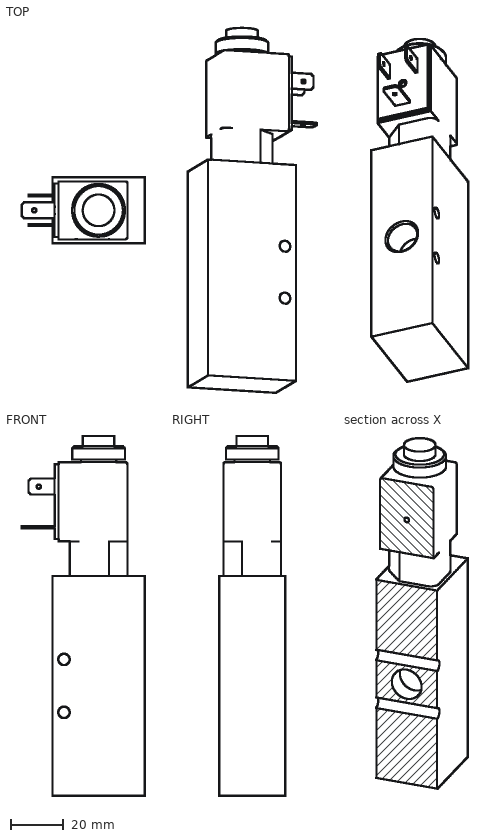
import cadquery as cq


TOTAL_LENGTH = 46.5
TOTAL_HEIGHT = 136.0

BLOCK_LENGTH = 35.0
BLOCK_WIDTH = 25.0
CAP_HEIGHT = 19.0
MIDDLE_HEIGHT = 45.0
BLOCK_HEIGHT = MIDDLE_HEIGHT + 2 * CAP_HEIGHT
BLOCK_MID_Z = BLOCK_HEIGHT / 2

PORT_DIAMETER = 12.0
PORT_MOUTH_DIAMETER = 13.5
PORT_CHAMFER = (PORT_MOUTH_DIAMETER - PORT_DIAMETER) / 2
PORT_DEPTH = 12.2

MOUNT_DIAMETER = 4.2
MOUNT_X = -13.0
MOUNT_PITCH = 20.0

PILOT_WIDTH = 21.9
NECK_HEIGHT = 13.0
NECK_CHAMFER = 7.1
NECK_FILLET = 3.4
COIL_BOTTOM = BLOCK_HEIGHT + NECK_HEIGHT

COIL_HEIGHT = 29.9
COIL_TOP = COIL_BOTTOM + COIL_HEIGHT
COIL_BACK_X = PILOT_WIDTH / 2
COIL_FRONT_X = -15.1
COIL_LENGTH = COIL_BACK_X - COIL_FRONT_X
COIL_FILLET = 1.0

PANEL_THICKNESS = 1.5
PANEL_MARGIN = 0.8
PANEL_X = COIL_FRONT_X - PANEL_THICKNESS
PANEL_MID_Z = COIL_BOTTOM + COIL_HEIGHT / 2

SCREW_DIAMETER = 1.8
SCREW_MOUTH_DIAMETER = 3.0
SCREW_CHAMFER = (SCREW_MOUTH_DIAMETER - SCREW_DIAMETER) / 2
SCREW_DEPTH = 8.2
SCREW_Z = 110.3

BLADE_WIDTH = 6.1
BLADE_THICKNESS = 0.8
BLADE_CHAMFER = 1.0
BLADE_HOLE_DIAMETER = 1.5
SIDE_BLADE_LENGTH = 9.9
SIDE_BLADE_HOLE_SETBACK = 4.0
SIDE_BLADE_Y = 5.6
SIDE_BLADE_Z = 116.8
GROUND_BLADE_TIP_X = BLOCK_LENGTH / 2 - TOTAL_LENGTH
GROUND_BLADE_LENGTH = PANEL_X - GROUND_BLADE_TIP_X
GROUND_BLADE_HOLE_SETBACK = 4.8
GROUND_BLADE_Z = 101.5

COLLAR_DIAMETER = 13.5
NUT_DIAMETER = 20.0
NUT_BOTTOM = 127.0
NUT_TOP = 132.0
NUT_CHAMFER = 0.8
STEM_DIAMETER = 12.0


def x_bore(mouth_x, z, diameter, depth, chamfer):
    """Blind bore entering along +X from mouth_x, with a chamfered mouth."""
    radius = diameter / 2
    return (
        cq.Workplane("XY")
        .moveTo(mouth_x, 0)
        .lineTo(mouth_x, radius + chamfer)
        .lineTo(mouth_x + chamfer, radius)
        .lineTo(mouth_x + depth, radius)
        .lineTo(mouth_x + depth, 0)
        .close()
        .revolve(360, (mouth_x, 0, 0), (mouth_x + depth, 0, 0))
        .translate((0, 0, z))
    )


def block_section(bottom_z, height):
    """One rectangular section of the valve block."""
    return cq.Workplane("XY", origin=(0, 0, bottom_z)).rect(BLOCK_LENGTH, BLOCK_WIDTH).extrude(height)


def make_valve():
    """Block of a middle section and two flush caps; the seams stay as face edges."""
    block = block_section(0, CAP_HEIGHT)
    block = block.union(block_section(CAP_HEIGHT, MIDDLE_HEIGHT), clean=False)
    block = block.union(block_section(CAP_HEIGHT + MIDDLE_HEIGHT, CAP_HEIGHT), clean=False)
    port = x_bore(-BLOCK_LENGTH / 2, BLOCK_MID_Z, PORT_DIAMETER, PORT_DEPTH, PORT_CHAMFER)
    mount_holes = (
        cq.Workplane("XZ", origin=(MOUNT_X, 0, BLOCK_MID_Z))
        .rarray(1.4, MOUNT_PITCH, 1, 2)
        .circle(MOUNT_DIAMETER / 2)
        .extrude(BLOCK_WIDTH, both=True)
    )
    return block.cut(port, clean=False).cut(mount_holes, clean=False)


def make_neck():
    """Square neck with one diagonal pair of corners cut flat and the other rounded."""
    neck = cq.Workplane("XY", origin=(0, 0, BLOCK_HEIGHT)).rect(PILOT_WIDTH, PILOT_WIDTH)
    neck = neck.extrude(NECK_HEIGHT)
    neck = neck.edges("(<XY or >XY) and |Z").fillet(NECK_FILLET)
    return neck.edges("(<(1, -1, 0) or >(1, -1, 0)) and |Z").chamfer(NECK_CHAMFER)


def make_coil():
    """Coil housing with rounded top and back edges, and its connector panel."""
    housing = cq.Workplane("XY").box(COIL_LENGTH, PILOT_WIDTH, COIL_HEIGHT, centered=(False, True, False))
    housing = housing.translate((COIL_FRONT_X, 0, COIL_BOTTOM))
    housing = housing.edges("(|X and >Z) or (|Z and >X) or (|Y and >Z and >X)").fillet(COIL_FILLET)
    panel = cq.Workplane("XY").box(
        PANEL_THICKNESS, PILOT_WIDTH - 2 * PANEL_MARGIN, COIL_HEIGHT - 2 * PANEL_MARGIN
    )
    panel = panel.translate((PANEL_X + PANEL_THICKNESS / 2, 0, PANEL_MID_Z))
    screw_hole = x_bore(PANEL_X, SCREW_Z, SCREW_DIAMETER, SCREW_DEPTH, SCREW_CHAMFER)
    return housing.union(panel).cut(screw_hole)


def make_blade(length, hole_setback):
    """Flat blade reaching from the panel toward -X, centred on the X axis."""
    tip_x = PANEL_X - length
    blade = cq.Workplane("XY").box(length, BLADE_WIDTH, BLADE_THICKNESS)
    blade = blade.translate((PANEL_X - length / 2, 0, 0))
    blade = blade.edges("|Z and <X").chamfer(BLADE_CHAMFER)
    hole = (
        cq.Workplane("XY", origin=(tip_x + hole_setback, 0, 0))
        .circle(BLADE_HOLE_DIAMETER / 2)
        .extrude(BLADE_THICKNESS, both=True)
    )
    return blade.cut(hole)


def make_blades():
    """Two upright side blades and one flat ground blade."""
    ground = make_blade(GROUND_BLADE_LENGTH, GROUND_BLADE_HOLE_SETBACK)
    blades = ground.translate((0, 0, GROUND_BLADE_Z))
    upright = make_blade(SIDE_BLADE_LENGTH, SIDE_BLADE_HOLE_SETBACK).rotate((0, 0, 0), (1, 0, 0), 90)
    for side in (-1, 1):
        blades = blades.add(upright.translate((0, side * SIDE_BLADE_Y, SIDE_BLADE_Z)))
    return blades.combine()


def disc(diameter, bottom_z, top_z):
    """Upright cylinder on the Z axis."""
    return cq.Workplane("XY", origin=(0, 0, bottom_z)).circle(diameter / 2).extrude(top_z - bottom_z)


def make_nut():
    """Collar, chamfered nut and stem stacked on top of the coil."""
    nut = disc(NUT_DIAMETER, NUT_BOTTOM, NUT_TOP).edges(">Z").chamfer(NUT_CHAMFER)
    collar = disc(COLLAR_DIAMETER, COIL_TOP, NUT_BOTTOM)
    stem = disc(STEM_DIAMETER, NUT_TOP, TOTAL_HEIGHT)
    return collar.union(nut).union(stem)


def make_pilot():
    """Pilot solenoid: neck, coil, terminal blades and nut as one solid; its seams stay as face edges."""
    pilot_body = make_neck()
    for feature in (make_coil(), make_blades(), make_nut()):
        pilot_body = pilot_body.union(feature, clean=False)
    return pilot_body


valve = make_valve()
pilot = make_pilot()

result = cq.Compound.makeCompound([valve.solids().val(), pilot.solids().val()])